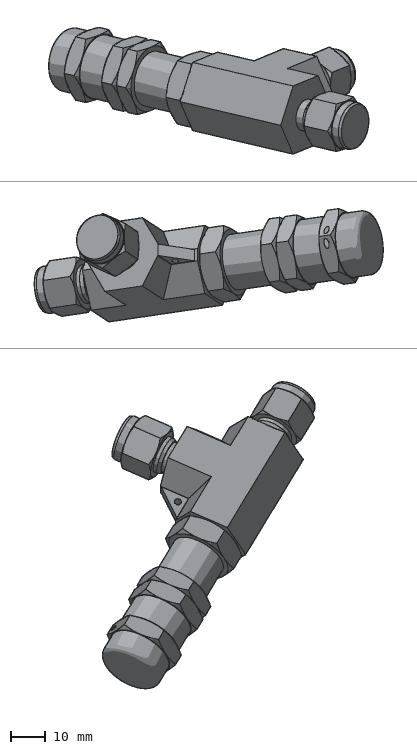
import cadquery as cq
import math

overall_length = 104.1
COS30 = math.cos(math.radians(30))

body_flats = 20.6
body_start = 50.2
body_end = 86.3
branch_x = 69.4
branch_end = 20.0
trimmed_corner = 10.8

web_thickness = 3.4
web_foot_x = 51.2
web_top_y = 19.7
web_hole_x = 56.2
web_hole_y = 13.1
web_hole_diameter = 2.0

sleeve_diameter = 18.6
sleeve_end = 25.8
cap_round = 2.0
stem_diameter = 16.1

nut_flats = 19.2
cap_nut = (7.1, 12.3)
lock_nuts = [(20.5, sleeve_end), (sleeve_end, 30.8)]
body_nut = (43.6, body_start)
nut_chamfer = 0.8
nut_hole_x = (cap_nut[0] + cap_nut[1]) / 2
nut_hole_y = 9.9
nut_hole_diameter = 1.5

fitting_length = overall_length - body_end
neck_diameter = 9.3
neck_length = 2.8
collar_diameter = 11.1
collar_chamfer_length = 1.0
collar_chamfer_depth = 0.5
fitting_nut_flats = 14.4
fitting_nut_start = 5.0
fitting_nut_end = 14.7
fitting_nut_chamfer = 0.6
tip_diameter = 13.7
tip_chamfer_length = 0.8
tip_chamfer_depth = 0.3


def x_plane(x):
    """Plane at x facing +X, with its local axes along Y and Z."""
    return cq.Workplane("YZ", origin=(x, 0, 0))


def x_cylinder(diameter, start, end):
    """Round bar along X."""
    return x_plane(start).circle(diameter / 2).extrude(end - start)


def x_hexagon(flats, start, end):
    """Hexagon bar along X with flats facing +Z and -Z."""
    return x_plane(start).polygon(6, flats / COS30).extrude(end - start)


def x_turned(profile):
    """Solid of revolution about X from (x, radius) points running along +X."""
    points = [(profile[0][0], 0)] + profile + [(profile[-1][0], 0)]
    return cq.Workplane("XY").polyline(points).close().revolve(360, (0, 0, 0), (1, 0, 0))


def x_nut(flats, start, end, chamfer):
    """Hexagon nut along X whose corners are turned off conically at both ends."""
    face_radius = flats / 2
    corner_radius = face_radius / COS30
    envelope = x_turned([
        (start, face_radius),
        (start + chamfer, corner_radius),
        (end - chamfer, corner_radius),
        (end, face_radius),
    ])
    return x_hexagon(flats, start, end).intersect(envelope)


def tee_body():
    """Hexagon run and branch, with the sharp corners next to the web cut flat."""
    trim_size = body_flats
    run = x_hexagon(body_flats, body_start, body_end)
    run_trim = cq.Workplane("XY").box(
        branch_x - body_start, trim_size, trim_size, centered=(False, False, True)
    ).translate((body_start, trimmed_corner, 0))

    branch = (
        cq.Workplane("XZ", origin=(branch_x, 0, 0))
        .polygon(6, body_flats / COS30)
        .extrude(-branch_end)
    )
    branch_trim = cq.Workplane("XY").box(
        trim_size, branch_end, trim_size, centered=(False, False, True)
    ).translate((branch_x - trimmed_corner - trim_size, 0, 0))
    return run.cut(run_trim).union(branch.cut(branch_trim))


def web():
    """Drilled triangular plate, carried into the body so that it fuses."""
    side_x = branch_x - trimmed_corner
    outline = [
        (web_foot_x, trimmed_corner),
        (side_x, web_top_y),
        (branch_x, web_top_y),
        (branch_x, 0),
        (web_foot_x, 0),
    ]
    plate = cq.Workplane("XY").polyline(outline).close().extrude(web_thickness / 2, both=True)
    hole = (
        cq.Workplane("XY")
        .center(web_hole_x, web_hole_y)
        .circle(web_hole_diameter / 2)
        .extrude(web_thickness, both=True)
    )
    return plate.cut(hole)


def adjuster():
    """Rounded cap, sleeve, stem and nuts ahead of the body."""
    sleeve = x_cylinder(sleeve_diameter, 0, sleeve_end).faces("<X").edges().fillet(cap_round)
    drilled_nut = x_nut(nut_flats, *cap_nut, nut_chamfer)
    hole = (
        cq.Workplane("XY")
        .center(nut_hole_x, nut_hole_y)
        .circle(nut_hole_diameter / 2)
        .extrude(nut_flats, both=True)
    )
    solid = x_cylinder(stem_diameter, cap_round, body_start).union(sleeve).union(drilled_nut)
    for start, end in lock_nuts + [body_nut]:
        solid = solid.union(x_nut(nut_flats, start, end, nut_chamfer))
    return solid.cut(hole)


def tube_fitting():
    """Neck, collar, nut and tip along +X, with the body face at X = 0."""
    neck_radius = neck_diameter / 2
    collar_radius = collar_diameter / 2
    tip_radius = tip_diameter / 2
    turned = x_turned([
        (0, neck_radius),
        (neck_length, neck_radius),
        (neck_length, collar_radius - collar_chamfer_depth),
        (neck_length + collar_chamfer_length, collar_radius),
        (fitting_nut_start, collar_radius),
        (fitting_nut_start, tip_radius),
        (fitting_length - tip_chamfer_length, tip_radius),
        (fitting_length, tip_radius - tip_chamfer_depth),
    ])
    nut = x_nut(fitting_nut_flats, fitting_nut_start, fitting_nut_end, fitting_nut_chamfer)
    return turned.union(nut)


fitting = tube_fitting()
run_fitting = fitting.translate((body_end, 0, 0))
branch_fitting = (
    fitting.rotate((0, 0, 0), (1, 0, 0), 90)
    .rotate((0, 0, 0), (0, 0, 1), 90)
    .translate((branch_x, branch_end, 0))
)

result = tee_body().union(web()).union(adjuster()).union(run_fitting).union(branch_fitting)